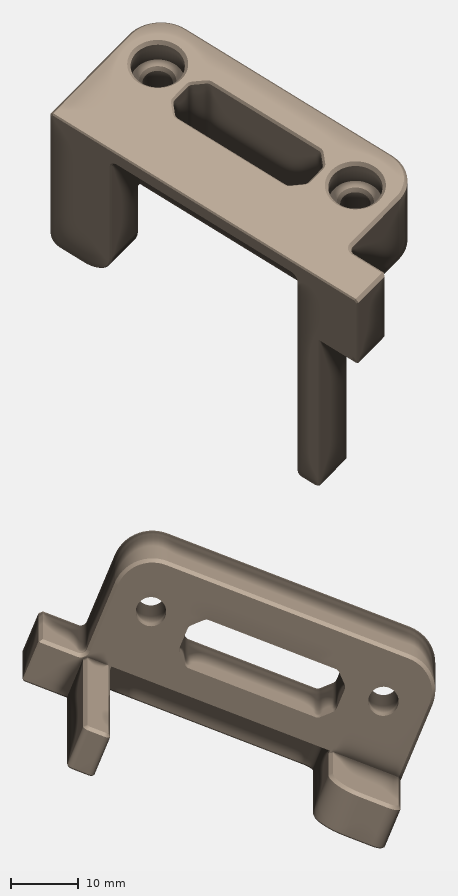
import cadquery as cq

length = 57.65
depth = 25.0
height = 50.4

block_height = 15.1
block_length = 50.6
front_depth = 7.0
rear_corner_radius = 6.0
tab_fillet = 1.0

opening_left = 11.5
opening_right = 46.25
opening_top = 2.8
opening_corner_radius = 1.25

short_leg_bottom = 31.0
short_leg_outer_radius = 2.0
short_leg_inner_radius = 5.0
long_leg_tip_radius = 1.0
leg_root = 2.9

front_chamfer = 0.25
edge_chamfer = 0.5
tab_end_chamfer = 0.25

hole_diameter = 4.5
hole_chamfer = 0.5
bore_diameter = 8.0
bore_depth = 4.05
hole_spacing = 37.0
hole_left = 7.0
hole_from_rear = 8.0
hole_y = depth - hole_from_rear

window_length = 25.0
window_width = 8.0
window_x = hole_left + hole_spacing / 2
window_from_rear = 10.05
window_y = depth - window_from_rear
window_corner_cut = 2.0
window_corner_radius = 1.0
window_chamfer = 0.35


def make_block():
    """Block and tab, chamfered along the outer edges except the front ones."""
    block = (
        cq.Workplane("XY")
        .polyline([
            (0, 0),
            (length, 0),
            (length, front_depth),
            (block_length, front_depth),
            (block_length, depth),
            (0, depth),
        ])
        .close()
        .extrude(-block_height)
    )
    tab_root = cq.selectors.NearestToPointSelector((block_length, front_depth, -block_height / 2))
    block = block.edges("|Z and >Y").fillet(rear_corner_radius)
    block = block.edges("|Z").edges(tab_root).fillet(tab_fillet)
    outline = block.edges("(|Z and >X) or >Z or <Z").edges("not (<Y or (>X and <Z))")
    return outline.chamfer(edge_chamfer).edges(">X and <Z").chamfer(tab_end_chamfer)


def make_opening():
    """Cutter for the front opening, which has rounded upper corners."""
    opening_height = block_height - opening_top
    return (
        cq.Workplane("XY")
        .box(opening_right - opening_left, front_depth, opening_height, centered=False)
        .translate((opening_left, 0, -block_height))
        .edges("|Y and >Z")
        .fillet(opening_corner_radius)
    )


def make_leg(left, right, bottom, left_radius, right_radius):
    """Leg rooted inside the block, with rounded tip corners and a chamfered back."""
    top = block_height - leg_root
    leg = (
        cq.Workplane("XY")
        .box(right - left, front_depth, bottom - top, centered=False)
        .translate((left, 0, -bottom))
    )
    leg = leg.edges("|Y and <Z and <X").fillet(left_radius)
    leg = leg.edges("|Y and >X").edges("<Z").fillet(right_radius)
    return leg.faces(">Y").chamfer(edge_chamfer)


def make_screw_hole(x):
    """Cutter for a through hole with a counterbore, both chamfered at the top."""
    hole_radius = hole_diameter / 2
    bore_radius = bore_diameter / 2
    return (
        cq.Workplane("XZ")
        .polyline([
            (0, 0),
            (bore_radius + hole_chamfer, 0),
            (bore_radius, -hole_chamfer),
            (bore_radius, -bore_depth),
            (hole_radius + hole_chamfer, -bore_depth),
            (hole_radius, -bore_depth - hole_chamfer),
            (hole_radius, -block_height),
            (0, -block_height),
        ])
        .close()
        .revolve(360, (0, 0), (0, 1))
        .translate((x, hole_y, 0))
    )


def cut_window(part):
    """Window through the block, chamfered at the top face."""
    window = (
        cq.Workplane("XY")
        .rect(window_length, window_width)
        .extrude(-block_height)
        .edges("|Z")
        .chamfer(window_corner_cut)
        .edges("|Z")
        .fillet(window_corner_radius)
    )
    part = part.cut(window.translate((window_x, window_y, 0)))
    half_length = window_length / 2 + window_chamfer
    half_width = window_width / 2 + window_chamfer
    mouth = cq.selectors.BoxSelector(
        (window_x - half_length, window_y - half_width, -window_chamfer),
        (window_x + half_length, window_y + half_width, window_chamfer),
    )
    return part.edges(mouth).chamfer(window_chamfer)


body = make_block().cut(make_opening())
body = body.union(
    make_leg(0, opening_left, short_leg_bottom, short_leg_outer_radius, short_leg_inner_radius)
)
body = body.union(
    make_leg(opening_right, block_length, height, long_leg_tip_radius, long_leg_tip_radius)
)
body = body.clean().faces("<Y").chamfer(front_chamfer)
body = cut_window(body)

for hole_x in (hole_left, hole_left + hole_spacing):
    body = body.cut(make_screw_hole(hole_x))

result = body